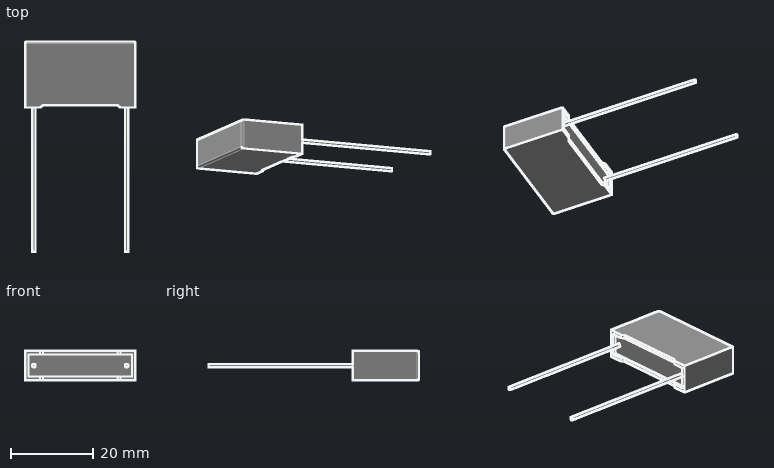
import cadquery as cq

case_width = 26.8
case_depth = 16.1
case_height = 7.21
side_wall = 0.9
broad_wall = 0.9
back_wall = 0.9
back_edge_radius = 0.5

relief_mouth_width = 19.5
relief_floor_width = 18.0
relief_depth = 0.55

potting_recess = 0.75

lead_pitch = 22.5
lead_diameter = 0.85
lead_free_length = 35.0
lead_embedded_length = 2.0

rim_y = 0.0
back_y = rim_y + case_depth
cavity_width = case_width - 2 * side_wall
cavity_height = case_height - 2 * broad_wall
potting_face_y = rim_y + potting_recess
potting_back_y = back_y - back_wall
lead_tip_y = rim_y - lead_free_length
lead_root_y = potting_face_y + lead_embedded_length


def block(width, height, start_y, end_y):
    """Box centred on the Y axis, reaching from start_y to end_y."""
    middle_y = (start_y + end_y) / 2
    return cq.Workplane("XY").box(width, end_y - start_y, height).translate((0, middle_y, 0))


def make_relief():
    """Trapezoidal cutter through the full height of the case at its rim."""
    return (
        cq.Workplane("XY")
        .moveTo(-relief_mouth_width / 2, rim_y)
        .lineTo(relief_mouth_width / 2, rim_y)
        .lineTo(relief_floor_width / 2, rim_y + relief_depth)
        .lineTo(-relief_floor_width / 2, rim_y + relief_depth)
        .close()
        .extrude(case_height / 2, both=True)
    )


def make_case():
    """Five-sided shell with rounded back edges and relieved rims."""
    shell = block(case_width, case_height, rim_y, back_y)
    shell = shell.faces(">Y").edges().fillet(back_edge_radius)
    cavity = block(cavity_width, cavity_height, rim_y, potting_back_y)
    return shell.cut(cavity).cut(make_relief())


def make_lead(x):
    """Straight round wire parallel to Y."""
    wire = cq.Workplane("XZ").circle(lead_diameter / 2).extrude(lead_root_y - lead_tip_y)
    return wire.translate((x, lead_root_y, 0))


case = make_case()
leads = [make_lead(x) for x in (-lead_pitch / 2, lead_pitch / 2)]

potting = block(cavity_width, cavity_height, potting_face_y, potting_back_y)
for lead in leads:
    potting = potting.cut(lead)

result = cq.Compound.makeCompound([case.val(), potting.val(), *[lead.val() for lead in leads]])